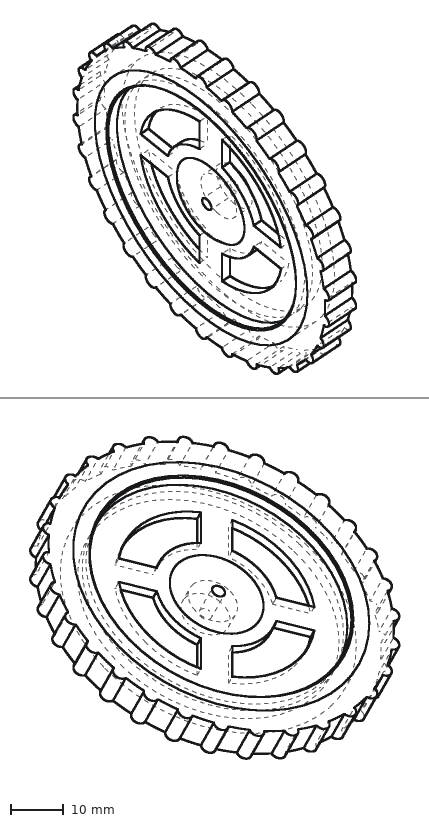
import cadquery as cq

tyre_width = 7.0
tread_tip_radius = 36.3
tyre_root_diameter = 70.0
tread_count = 30
tread_radius = 1.5
first_tread_angle = 90

seat_diameter = 60.0

recess_diameter = 53
rim_chamfer = 0.3
web_thickness = 2.0
web_front = (tyre_width - web_thickness) / 2
web_back = web_front + web_thickness

window_outer_diameter = 40.1
window_inner_diameter = 25.0
upright_spoke_width = 6.4
level_spoke_width = 5.95

boss_base_diameter = 19.0
boss_height = 1.0
boss_slope = 45
boss_edge_radius = 1.0

stub_diameter = 10.0
stub_overhang = 1.5
stub_end = tyre_width + stub_overhang
axle_hole_diameter = 2.6


def cylinder(diameter, y_start, y_end):
    """Cylinder about the Y axis that runs from y_start to y_end."""
    start_plane = cq.Workplane("XZ", origin=(0, y_start, 0))
    return start_plane.circle(diameter / 2).extrude(y_start - y_end)


def make_tyre():
    """Ring with half-round treads standing out all around its rolling surface."""
    carcass = cylinder(tyre_root_diameter, 0, tyre_width)
    treads = (
        cq.Workplane("XZ")
        .polarArray(tread_tip_radius - tread_radius, first_tread_angle, 360, tread_count)
        .circle(tread_radius)
        .extrude(-tyre_width)
    )
    seat = cylinder(seat_diameter, 0, tyre_width)
    return carcass.union(treads).cut(seat)


def make_rim_and_web():
    """Disc recessed from both sides, with a chamfer at the front recess mouth."""
    disc = cylinder(seat_diameter, 0, tyre_width)
    front_recess = cylinder(recess_diameter, 0, web_front)
    back_recess = cylinder(recess_diameter, web_back, tyre_width)
    recessed = disc.cut(front_recess).cut(back_recess)
    recess_mouth = recessed.faces("<Y").edges(cq.selectors.RadiusNthSelector(0))
    return recess_mouth.chamfer(rim_chamfer)


def make_windows():
    """Cutter for the windows: a ring through the web, less the two crossing spokes."""
    outer = cylinder(window_outer_diameter, web_front, web_back)
    inner = cylinder(window_inner_diameter, web_front, web_back)
    web_middle = cq.Workplane("XY", origin=(0, (web_front + web_back) / 2, 0))
    upright_spoke = web_middle.box(upright_spoke_width, web_thickness, window_outer_diameter)
    level_spoke = web_middle.box(window_outer_diameter, web_thickness, level_spoke_width)
    return outer.cut(inner).cut(upright_spoke).cut(level_spoke)


def make_boss():
    """Low cone rising toward the front, with a rounded edge around its flat face."""
    cone = (
        cq.Workplane("XZ", origin=(0, web_front, 0))
        .circle(boss_base_diameter / 2)
        .extrude(boss_height, taper=boss_slope)
    )
    return cone.faces("<Y").edges().fillet(boss_edge_radius)


def make_wheel():
    """Rim, web, boss and stub as one body, bored through for the axle."""
    stub = cylinder(stub_diameter, web_back, stub_end)
    axle_hole = cylinder(axle_hole_diameter, 0, stub_end)
    web_with_windows = make_rim_and_web().cut(make_windows())
    return web_with_windows.union(make_boss()).union(stub).cut(axle_hole)


tyre = make_tyre()
wheel = make_wheel()

result = cq.Compound.makeCompound([tyre.val(), wheel.val()])